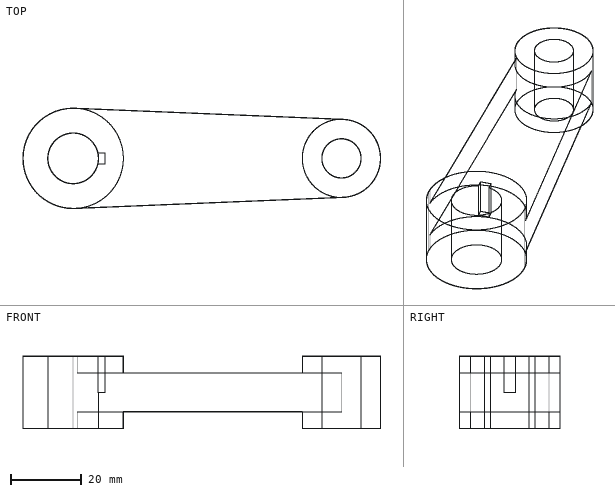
import cadquery as cq

center_distance = 76.2
height = 20.6
web_thickness = 11.1
large_boss_diameter = 28.5
large_bore_diameter = 14.3
small_boss_diameter = 22.3
small_bore_diameter = 11.1
key_width = 3.1
key_reach = 9.0
key_depth = height / 2

large_radius = large_boss_diameter / 2
small_radius = small_boss_diameter / 2


def cylinder(x, diameter):
    """Full-height upright cylinder, centred on Z = 0."""
    return cq.Workplane("XY").center(x, 0).circle(diameter / 2).extrude(height / 2, both=True)


def full_height_arm():
    """Arm with half-round ends joined by straight sides.

    The sides start beside each boss axis, so they shave a thin chord off the large boss.
    """
    return (
        cq.Workplane("XY")
        .moveTo(0, large_radius)
        .threePointArc((-large_radius, 0), (0, -large_radius))
        .lineTo(center_distance, -small_radius)
        .threePointArc((center_distance + small_radius, 0), (center_distance, small_radius))
        .close()
        .extrude(height / 2, both=True)
    )


def web_relief():
    """Material above and below the web, between the two bosses."""
    slab_width = 2 * large_boss_diameter
    slab = cq.Workplane("XY").box(center_distance, slab_width, height).translate((center_distance / 2, 0, 0))
    web = cq.Workplane("XY").box(2 * center_distance, 2 * slab_width, web_thickness)
    web = web.translate((center_distance / 2, 0, 0))
    large_boss = cylinder(0, large_boss_diameter)
    small_boss = cylinder(center_distance, small_boss_diameter)
    return slab.cut(web).cut(large_boss).cut(small_boss)


def keyway():
    """Blind slot on the +X side of the large bore, open at the top."""
    return (
        cq.Workplane("XY")
        .box(key_reach, key_width, key_depth, centered=(False, True, False))
        .translate((0, 0, height / 2 - key_depth))
    )


bores = cylinder(0, large_bore_diameter).union(cylinder(center_distance, small_bore_diameter))
result = full_height_arm().cut(web_relief()).cut(bores).cut(keyway())